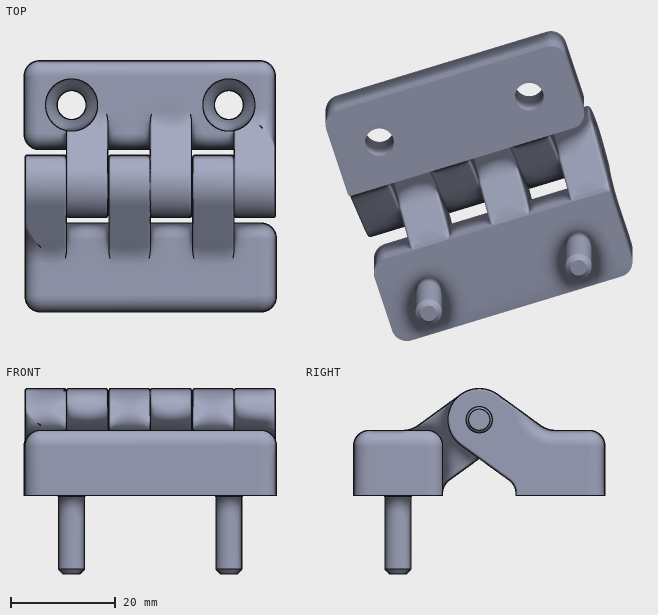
import cadquery as cq
import math

hinge_length = 48.2
hinge_depth = 48.0
leaf_length = 48.0
leaf_depth = 17.0
leaf_height = 12.5
leaf_round = 3.0
leaf_inner_y = hinge_depth / 2 - leaf_depth
leaf_left_x = -hinge_length / 2
leaf_right_x = leaf_left_x + leaf_length

axis_height = 14.5
barrel_radius = 6.0
arm_slope = math.radians(36)
arm_width = 7.9
arm_pitch = 16.0
arm_count = 3
top_blend = 5.0
bottom_blend = 3.0
arm_edge_round = 0.5

pin_diameter = 5.0
pin_chamfer = 0.5

fastener_spacing = 30.05
fastener_y = 15.5
hole_diameter = 5.5
head_diameter = 10.0
head_wall = 0.85
stud_diameter = 5.0
stud_length = 15.0
stud_chamfer = 0.95
stud_collar_diameter = 5.2
stud_collar_height = 0.2

slope_sin = math.sin(arm_slope)
slope_cos = math.cos(arm_slope)
slope_tan = math.tan(arm_slope)

blend_z = leaf_height + top_blend
blend_y = ((barrel_radius + top_blend) / slope_cos + axis_height - blend_z) / slope_tan

fastener_points = [
    (-fastener_spacing / 2, fastener_y),
    (fastener_spacing / 2, fastener_y),
]


def plate():
    blank = cq.Workplane("XY").box(leaf_length, leaf_depth, leaf_height, centered=False)
    blank = blank.translate((leaf_left_x, leaf_inner_y, 0))
    return blank.edges("|Z or >Z").fillet(leaf_round)


def end_round_cutter():
    """Carries the plate's end rounding up along the hollow blend of the outermost arm."""
    outer_radius = top_blend + leaf_round
    arc_reach = leaf_round / math.sqrt(2)
    inner_x = leaf_right_x - leaf_round
    return (
        cq.Workplane("XY", origin=(0, blend_y, blend_z))
        .moveTo(inner_x, 0)
        .lineTo(inner_x, top_blend)
        .threePointArc(
            (inner_x + arc_reach, outer_radius - arc_reach), (leaf_right_x, outer_radius)
        )
        .lineTo(leaf_right_x, 0)
        .close()
        .revolve(360, (0, 0, 0), (1, 0, 0))
    )


def arm(start_x):
    """Knuckle arm on the +Y side with rounded edges, ending inside the plate."""
    upper_tangent = (barrel_radius * slope_sin, axis_height + barrel_radius * slope_cos)
    lower_tangent = (-barrel_radius * slope_sin, axis_height - barrel_radius * slope_cos)
    blend_start = (blend_y - top_blend * slope_sin, blend_z - top_blend * slope_cos)
    blend_mid = (
        blend_y - top_blend * math.sin(arm_slope / 2),
        blend_z - top_blend * math.cos(arm_slope / 2),
    )

    lower_y = leaf_inner_y - bottom_blend
    lower_z = axis_height - (barrel_radius + bottom_blend) / slope_cos - lower_y * slope_tan
    half_turn = (math.pi / 2 - arm_slope) / 2
    lower_start = (lower_y + bottom_blend * slope_sin, lower_z + bottom_blend * slope_cos)
    lower_mid = (
        lower_y + bottom_blend * math.cos(half_turn),
        lower_z + bottom_blend * math.sin(half_turn),
    )

    outline = (
        cq.Workplane("YZ", origin=(start_x, 0, 0))
        .moveTo(blend_y, 0)
        .lineTo(blend_y, leaf_height)
        .threePointArc(blend_mid, blend_start)
        .lineTo(*upper_tangent)
        .threePointArc(
            (-barrel_radius * slope_cos, axis_height + barrel_radius * slope_sin), lower_tangent
        )
        .lineTo(*lower_start)
        .threePointArc(lower_mid, (leaf_inner_y, lower_z))
        .lineTo(leaf_inner_y, 0)
        .close()
    )
    body = outline.extrude(arm_width)

    body = body.cut(end_round_cutter())
    crease = body.edges("%BSPLINE")

    side_edges = body.faces("<X or >X").edges("not (<Z or >Y)")
    body = side_edges.add(crease).fillet(arm_edge_round)
    bore = (
        cq.Workplane("YZ", origin=(start_x, 0, axis_height))
        .circle(pin_diameter / 2)
        .extrude(arm_width)
    )
    return body.cut(bore)


def leaf():
    """Leaf on the +Y side; its last arm is flush with the right end of the plate."""
    body = plate()
    for index in range(arm_count):
        body = body.union(arm(leaf_right_x - arm_width - index * arm_pitch))
    return body


def screw_holes():
    """Cutters for the stepped holes, tall enough to clear the arms beside them."""
    top_z = axis_height + barrel_radius
    cone_depth = (head_diameter - hole_diameter) / 2
    cone_top = leaf_height - head_wall
    cutter = (
        cq.Workplane("XZ")
        .lineTo(hole_diameter / 2, 0)
        .lineTo(hole_diameter / 2, cone_top - cone_depth)
        .lineTo(head_diameter / 2, cone_top)
        .lineTo(head_diameter / 2, top_z)
        .lineTo(0, top_z)
        .close()
        .revolve(360, (0, 0, 0), (0, 1, 0))
    )
    return cq.Workplane("XY").pushPoints(fastener_points).eachpoint(
        lambda place: cutter.val().moved(place), combine=False
    )


def studs():
    shanks = (
        cq.Workplane("XY")
        .pushPoints(fastener_points)
        .circle(stud_diameter / 2)
        .extrude(-stud_length)
        .faces("<Z")
        .chamfer(stud_chamfer)
    )
    collars = (
        cq.Workplane("XY")
        .pushPoints(fastener_points)
        .circle(stud_collar_diameter / 2)
        .extrude(-stud_collar_height)
    )
    return shanks.union(collars)


def hinge_pin():
    """Pin flush with the outermost arms; its chamfers leave a small groove in the bores."""
    pin_length = 2 * leaf_right_x
    return (
        cq.Workplane("YZ", origin=(-leaf_right_x, 0, axis_height))
        .circle(pin_diameter / 2)
        .extrude(pin_length)
        .faces("<X or >X")
        .chamfer(pin_chamfer)
    )


plain_leaf = leaf()
screw_leaf = plain_leaf.cut(screw_holes())
stud_leaf = plain_leaf.union(studs()).rotate((0, 0, 0), (0, 0, 1), 180)
result = screw_leaf.union(stud_leaf).union(hinge_pin())